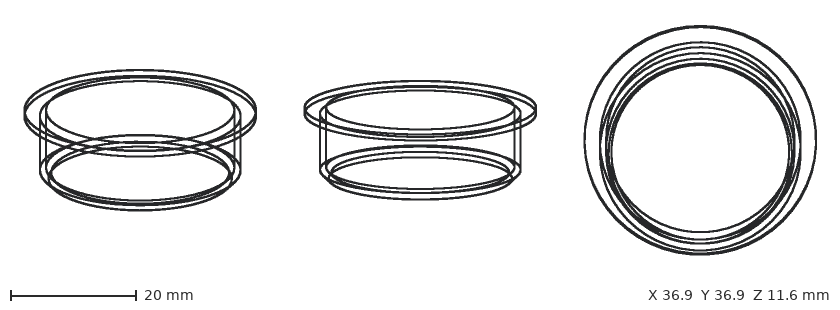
import cadquery as cq

flange_diameter = 36.9
body_diameter = 32.0
total_height = 11.6
wall_thickness = 1.0
outer_chamfer = 1.4
inner_chamfer = 0.85

cavity_diameter = body_diameter - 2 * wall_thickness
cavity_depth = total_height - wall_thickness


def chamfered_plug(diameter, height, chamfer, base_z):
    """Upright cylinder with a chamfered bottom edge."""
    plug = cq.Workplane("XY").workplane(offset=base_z).circle(diameter / 2).extrude(height)
    return plug.faces("<Z").chamfer(chamfer)


body = chamfered_plug(body_diameter, total_height, outer_chamfer, 0)

flange = (
    cq.Workplane("XY")
    .workplane(offset=total_height - wall_thickness)
    .circle(flange_diameter / 2)
    .extrude(wall_thickness)
)

cavity = chamfered_plug(cavity_diameter, cavity_depth, inner_chamfer, wall_thickness)

result = body.union(flange).cut(cavity)